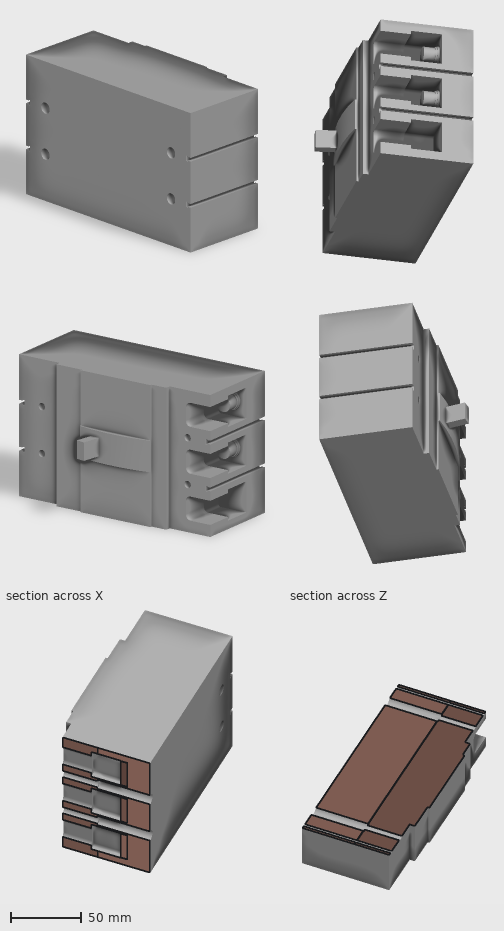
import cadquery as cq
import math


case_length = 165.2
case_width = 106.0
split_y = 41.0
cover_face_y = 68.0
raised_length = 95.0
raised_y = 72.0
plate_length = 60.5
plate_center_x = -4.6
plate_y = 73.5
line_side_x = -case_length / 2

pole_pitch = 35.0
pole_centers = [index * pole_pitch for index in (-1, 0, 1)]
gap_centers = [-pole_pitch / 2, pole_pitch / 2]

neck_width = 2.8
head_width = 4.0
neck_depth = 2.6
groove_depth = 4.4

hole_spacing_x = 126.0
base_hole_diameter = 8.4
cover_hole_diameter = 5.5

pocket_width = 23.3
pocket_depth = 24.0
pocket_floor_y = 23.0
pocket_top_y = 45.7
pocket_corner_radius = 2.0
channel_width = 18.0
channel_depth = 21.0
channel_corner_radius = 3.9
terminal_width = 22.5
terminal_length = pocket_depth
terminal_thickness = 5.0
terminal_y = pocket_floor_y - terminal_thickness

bolt_poles = pole_centers[1:]
bolt_inset = 12.0
flat_washer_diameter = 14.0
flat_washer_thickness = 1.6
spring_washer_diameter = 13.0
spring_washer_thickness = 1.6
bolt_head_diameter = 11.5
bolt_head_height = 8.3

dome_width = 23.5
dome_edge_y = 74.6
dome_top_y = 77.6
lever_width = 13.8
lever_thickness = 7.0
lever_tilt = 10.0
lever_tip_x = 10.0
lever_tip_y = 92.0
lever_length = 16.0


def block(x_min, x_max, y_min, y_max, z_center, width):
    """Box between the given X and Y limits, centred on z_center."""
    box = cq.Workplane("XY").box(x_max - x_min, y_max - y_min, width)
    return box.translate(((x_min + x_max) / 2, (y_min + y_max) / 2, z_center))


def centered_block(length, y_min, y_max, x_center=0.0):
    """Box over the full case width, centred on x_center."""
    return block(x_center - length / 2, x_center + length / 2, y_min, y_max, 0, case_width)


def cylinder_y(diameter, y_start, length, x, z):
    """Cylinder along +Y."""
    start = cq.Vector(x, y_start, z)
    direction = cq.Vector(0, 1, 0)
    return cq.Workplane(cq.Solid.makeCylinder(diameter / 2, length, start, direction))


def barrier_grooves(y_min, y_max):
    """T-grooves between the poles on both end faces."""
    grooves = cq.Workplane("XY")
    for z in gap_centers:
        neck = block(line_side_x, line_side_x + neck_depth, y_min, y_max, z, neck_width)
        head = block(line_side_x + neck_depth, line_side_x + groove_depth, y_min, y_max, z, head_width)
        groove = neck.union(head)
        grooves = grooves.add(groove).add(groove.mirror("YZ"))
    return grooves.combine()


def mounting_holes(diameter, y_min, y_max):
    """Four holes along Y, in line with the gaps between the poles."""
    holes = cq.Workplane("XY")
    for x in (-hole_spacing_x / 2, hole_spacing_x / 2):
        for z in gap_centers:
            holes = holes.add(cylinder_y(diameter, y_min, y_max - y_min, x, z))
    return holes.combine()


def end_recesses(depth, y_min, y_max, width, corner_radius):
    """One recess per pole, open at the line end, with rounded inner corners."""
    recesses = cq.Workplane("XY")
    for z in pole_centers:
        recess = block(line_side_x, line_side_x + depth, y_min, y_max, z, width)
        recesses = recesses.add(recess.edges(">X and |Y").fillet(corner_radius))
    return recesses.combine()


def terminal_bar(z):
    """Flat bar let into the pocket floor, flush with the end face."""
    return block(line_side_x, line_side_x + terminal_length, terminal_y, pocket_floor_y, z, terminal_width)


def terminal_bolt(z):
    """Bolt head with its spring washer and flat washer, standing on a terminal bar."""
    x = line_side_x + bolt_inset
    spring_washer_y = pocket_floor_y + flat_washer_thickness
    head_y = spring_washer_y + spring_washer_thickness
    bolt = cylinder_y(flat_washer_diameter, pocket_floor_y, flat_washer_thickness, x, z)
    bolt = bolt.union(cylinder_y(spring_washer_diameter, spring_washer_y, spring_washer_thickness, x, z))
    return bolt.union(cylinder_y(bolt_head_diameter, head_y, bolt_head_height, x, z))


def make_base():
    pockets = end_recesses(pocket_depth, pocket_floor_y, split_y, pocket_width, pocket_corner_radius)
    base = centered_block(case_length, 0, split_y)
    base = base.cut(barrier_grooves(0, split_y))
    base = base.cut(mounting_holes(base_hole_diameter, 0, split_y))
    base = base.cut(pockets)
    for z in pole_centers:
        base = base.cut(terminal_bar(z))
    return base


def dome():
    """Arched dome that carries the lever, rising from the raised face."""
    x_min = plate_center_x - plate_length / 2
    x_max = plate_center_x + plate_length / 2
    return (
        cq.Workplane("XY")
        .moveTo(x_min, raised_y)
        .lineTo(x_min, dome_edge_y)
        .threePointArc((plate_center_x, dome_top_y), (x_max, dome_edge_y))
        .lineTo(x_max, raised_y)
        .close()
        .extrude(dome_width / 2, both=True)
    )


def make_cover():
    pockets = end_recesses(pocket_depth, split_y, pocket_top_y, pocket_width, pocket_corner_radius)
    channels = end_recesses(channel_depth, pocket_top_y, cover_face_y, channel_width, channel_corner_radius)
    cover = centered_block(case_length, split_y, cover_face_y)
    cover = cover.union(centered_block(raised_length, cover_face_y, raised_y))
    cover = cover.union(centered_block(plate_length, raised_y, plate_y, plate_center_x))
    cover = cover.union(dome())
    cover = cover.cut(barrier_grooves(split_y, cover_face_y))
    cover = cover.cut(mounting_holes(cover_hole_diameter, split_y, cover_face_y))
    return cover.cut(pockets).cut(channels)


def make_handle():
    """Tilted lever standing on the dome."""
    tilt = math.radians(lever_tilt)
    across = cq.Vector(math.cos(tilt), -math.sin(tilt), 0) * lever_thickness
    down = cq.Vector(-math.sin(tilt), -math.cos(tilt), 0) * lever_length
    tip = cq.Vector(lever_tip_x, lever_tip_y, 0)
    corners = [tip, tip + across, tip + across + down, tip + down]
    lever = (
        cq.Workplane("XY")
        .polyline([(corner.x, corner.y) for corner in corners])
        .close()
        .extrude(lever_width / 2, both=True)
    )
    return lever.cut(dome())


base = make_base()
cover = make_cover()
handle = make_handle()
terminals = [terminal_bar(z) for z in pole_centers]
bolts = [terminal_bolt(z) for z in bolt_poles]

result = cq.Compound.makeCompound(
    [base.val(), cover.val(), handle.val()]
    + [terminal.val() for terminal in terminals]
    + [bolt.val() for bolt in bolts]
)